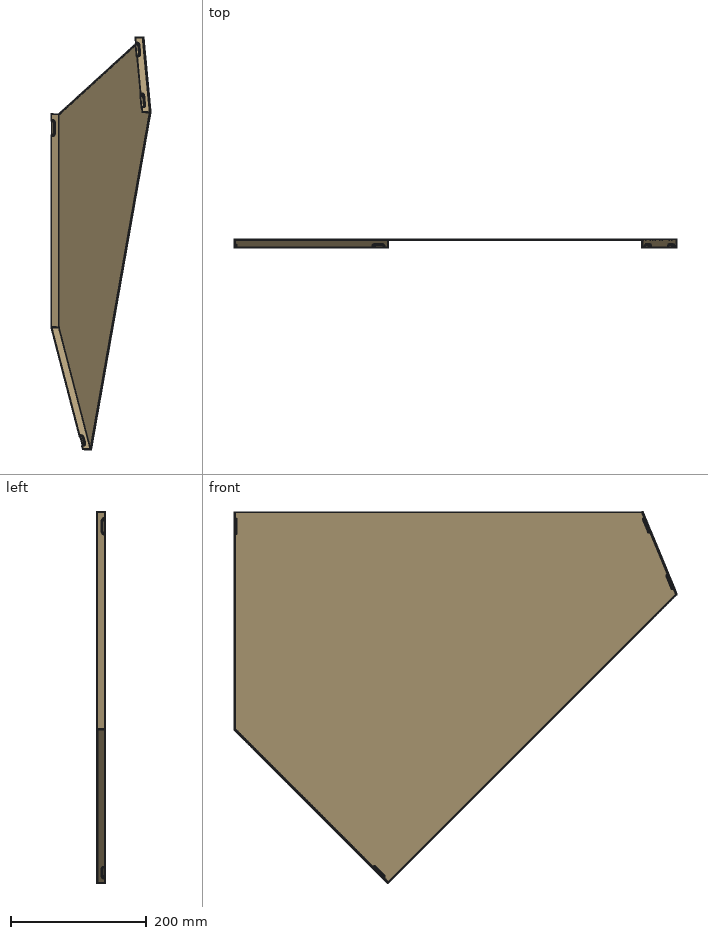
import cadquery as cq
import math

width = 652.36
height = 546.98
depth = 12.51
sheet = 1.5
left_edge_length = 319.4
right_lean = math.radians(22.5)
diagonal = math.radians(45)

dimple_length = 24.0
dimple_reach = 5.2
dimple_offset = 2.8
dimple_slope = 32.0
dimple_corner = 4.5
dimple_end_distance = 21.0

left_x = sheet
top_z = height - sheet * math.sin(right_lean)
right_tip_x = width - sheet * math.cos(right_lean)
bottom_z = sheet * math.sin(diagonal)
lower_left_z = top_z - left_edge_length
bottom_tip_x = left_x + (lower_left_z - bottom_z) / math.tan(diagonal)
right_tip_z = bottom_z + (right_tip_x - bottom_tip_x) * math.tan(diagonal)
top_right_x = right_tip_x - (top_z - right_tip_z) * math.tan(right_lean)

top_left = (left_x, top_z)
top_right = (top_right_x, top_z)
right_tip = (right_tip_x, right_tip_z)
bottom_tip = (bottom_tip_x, bottom_z)
lower_left = (left_x, lower_left_z)


def make_plate():
    """Flat five-sided sheet with its back face at Y = 0."""
    corners = [top_left, top_right, right_tip, bottom_tip, lower_left]
    return cq.Workplane("XZ").polyline(corners).close().extrude(sheet)


def dimple_frustum(footprint_growth):
    """Tapered block centred on the origin, rising along Z, grown by a margin on every side."""
    footprint = cq.Sketch().rect(
        dimple_length + 2 * footprint_growth,
        2 * (dimple_reach + footprint_growth),
    )
    footprint = footprint.vertices().fillet(dimple_corner + footprint_growth)
    return (
        cq.Workplane("XY")
        .placeSketch(footprint)
        .extrude(dimple_offset, taper=dimple_slope)
    )


def make_flange(start, end, dimple_positions):
    """Flange along one plate edge, with the plate to the left when walking start to end.

    It is built lying flat: X along the edge, Y from the free edge (Y = 0) to the
    back of the plate, Z from the outer face inwards.
    """
    run = cq.Vector(end[0] - start[0], 0, end[1] - start[1])
    length = run.Length
    flange = cq.Workplane("XY").box(length, depth, sheet, centered=False)
    wall_growth = sheet * math.tan(math.radians(dimple_slope / 2))
    panel_side = cq.Workplane("XY").box(length, depth, sheet + dimple_offset, centered=False)
    for position in dimple_positions(length):
        bump = dimple_frustum(wall_growth).translate((position, 0, sheet))
        hollow = dimple_frustum(0).translate((position, 0, 0))
        flange = flange.union(bump.intersect(panel_side)).cut(hollow)

    along = run.normalized()
    inward = along.cross(cq.Vector(0, 1, 0))
    outer_corner = cq.Vector(start[0], -depth, start[1]) - inward * sheet
    return flange.val().moved(cq.Plane(outer_corner, along, inward).location)


def near_start(length):
    return [dimple_end_distance]


def near_end(length):
    return [length - dimple_end_distance]


def near_both_ends(length):
    return near_start(length) + near_end(length)


result = (
    make_plate()
    .union(make_flange(top_left, lower_left, near_start))
    .union(make_flange(lower_left, bottom_tip, near_end))
    .union(make_flange(right_tip, top_right, near_both_ends))
)